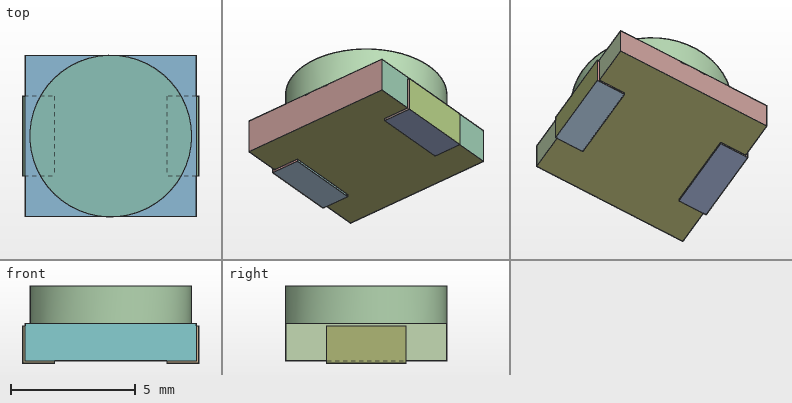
import cadquery as cq

overall_length = 7.06

terminal_thickness = 0.1
terminal_width = 3.2
terminal_height = 1.5
terminal_foot_length = 1.28

base_length = overall_length - 2 * terminal_thickness
base_width = 6.45
base_height = 1.5
base_bottom = terminal_thickness
base_top = base_bottom + base_height

core_diameter = 6.47
core_height = 1.5


def make_base():
    return (
        cq.Workplane("XY", origin=(0, 0, base_bottom))
        .rect(base_length, base_width)
        .extrude(base_height)
    )


def make_core():
    return (
        cq.Workplane("XY", origin=(0, 0, base_top))
        .circle(core_diameter / 2)
        .extrude(core_height)
    )


def make_terminal(side):
    """Upright plate on one end of the base with a foot under it; side is -1 or +1 along X."""
    outer_x = side * overall_length / 2
    end_face_x = side * base_length / 2
    foot_tip_x = side * (overall_length / 2 - terminal_foot_length)
    return (
        cq.Workplane("XZ")
        .moveTo(outer_x, 0)
        .lineTo(outer_x, terminal_height)
        .lineTo(end_face_x, terminal_height)
        .lineTo(end_face_x, base_bottom)
        .lineTo(foot_tip_x, base_bottom)
        .lineTo(foot_tip_x, 0)
        .close()
        .extrude(terminal_width / 2, both=True)
    )


base = make_base()
core = make_core()
terminals = [make_terminal(side) for side in (-1, 1)]

result = cq.Compound.makeCompound(
    [base.val(), core.val(), *[terminal.val() for terminal in terminals]]
)